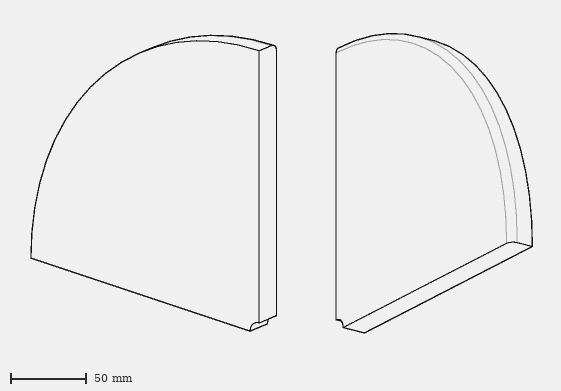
import cadquery as cq
import math

radius = 202.5
thickness = 17.5
edge_round = 5.0
notch_radius = 8.0

arc_middle = radius * math.sqrt(0.5)
plate = (
    cq.Workplane("XZ")
    .lineTo(-radius, 0)
    .threePointArc((-arc_middle, arc_middle), (0, radius))
    .close()
    .extrude(-thickness)
)

plate = plate.faces(">Y").edges("%CIRCLE").fillet(edge_round)

notch = cq.Workplane("XZ").circle(notch_radius).extrude(-thickness)

result = plate.cut(notch)